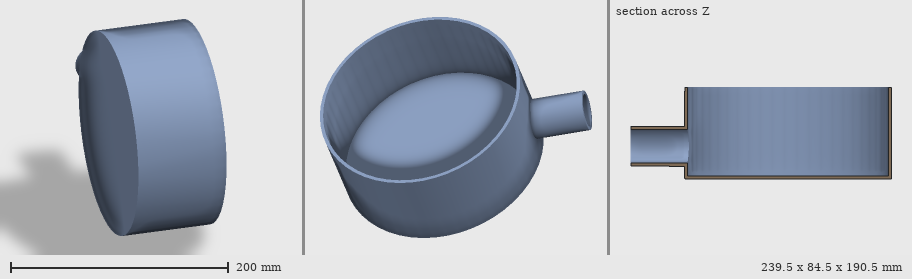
import cadquery as cq

overall_length = 239.5
drum_diameter = 190.5
cavity_diameter = 184.2
drum_depth = 84.5
drum_radius = drum_diameter / 2
wall = (drum_diameter - cavity_diameter) / 2

pipe_diameter = 37.0
bore_diameter = 30.5
pipe_offset = 30.2
pipe_reach = overall_length - drum_radius


def rod_along_y(diameter, start):
    """Cylinder on the drum axis from Y = start to the open end."""
    return (
        cq.Workplane("XZ", origin=(0, start, 0))
        .circle(diameter / 2)
        .extrude(start - drum_depth)
    )


def rod_along_x(diameter):
    """Cylinder from the drum axis out to the free end of the pipe."""
    return (
        cq.Workplane("YZ")
        .center(pipe_offset, 0)
        .circle(diameter / 2)
        .extrude(-pipe_reach)
    )


body = rod_along_y(drum_diameter, 0).union(rod_along_x(pipe_diameter))
cavity = rod_along_y(cavity_diameter, wall)
bore = rod_along_x(bore_diameter)
result = body.cut(cavity).cut(bore)